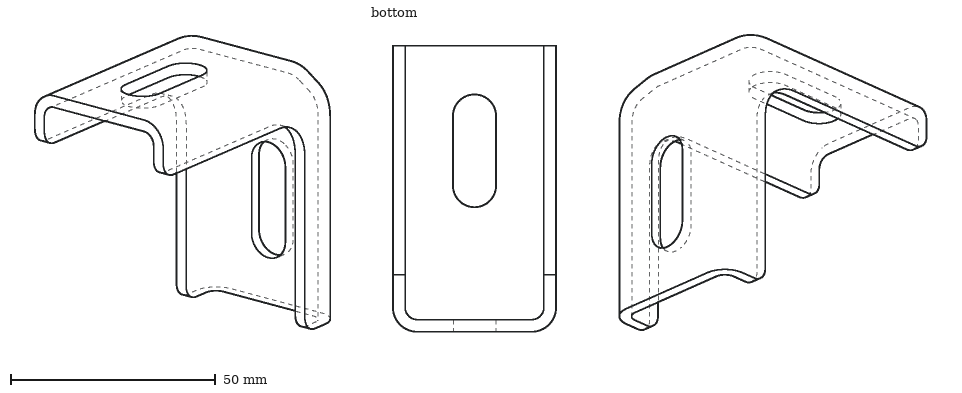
import cadquery as cq
import math

arm_length = 70.0
width = 40.0
thickness = 3.0
flange_depth = 14.0

edge_radius = 6.0
bend_radius = 13.0
bend_flat = 4.3
inner_corner_radius = 10.0
flange_end_radius = 4.0

slot_width = 10.5
slot_end_margin = 12.0
back_slot_length = 30.0
top_slot_length = 27.5


def extrude_across(profile, span):
    """Extrude a YZ profile symmetrically along X."""
    return profile.extrude(span / 2, both=True)


def corner_block(inset, span, radius):
    """Solid under the bent wall, inset from its outer skin, with rounded long edges."""
    center_far = bend_radius + bend_flat
    bend = bend_radius - inset
    diagonal = bend * math.sqrt(0.5)
    half_sine = bend * math.sin(math.pi / 8)
    half_cosine = bend * math.cos(math.pi / 8)
    profile = (
        cq.Workplane("YZ")
        .moveTo(-arm_length, -arm_length)
        .lineTo(-inset, -arm_length)
        .lineTo(-inset, -center_far)
        .threePointArc(
            (-bend_radius + half_cosine, -center_far + half_sine),
            (-bend_radius + diagonal, -center_far + diagonal),
        )
        .lineTo(-center_far + diagonal, -bend_radius + diagonal)
        .threePointArc(
            (-center_far + half_sine, -bend_radius + half_cosine),
            (-center_far, -inset),
        )
        .lineTo(-arm_length, -inset)
        .close()
    )
    block = extrude_across(profile, span)
    return block.edges("(not <Y) and (not <Z) and (not |X)").fillet(radius)


def flange_envelope():
    """L-shaped side outline with a rounded inner corner and rounded flange ends."""
    profile = (
        cq.Workplane("YZ")
        .polyline([
            (0, 0),
            (0, -arm_length),
            (-flange_depth, -arm_length),
            (-flange_depth, -flange_depth),
            (-arm_length, -flange_depth),
            (-arm_length, 0),
        ])
        .close()
    )

    def edge_at(y, z):
        return cq.selectors.NearestToPointSelector((0, y, z))

    return (
        extrude_across(profile, width)
        .edges(edge_at(-flange_depth, -flange_depth)).fillet(inner_corner_radius)
        .edges(edge_at(-flange_depth, -arm_length)).fillet(flange_end_radius)
        .edges(edge_at(-arm_length, -flange_depth)).fillet(flange_end_radius)
    )


def slot_cutter(plane, length):
    """Slot running along an arm, cut through its wall only."""
    center = -arm_length + slot_end_margin + length / 2
    return (
        cq.Workplane(plane)
        .center(0, center)
        .slot2D(length, slot_width, 90)
        .extrude(flange_depth / 2, both=True)
    )


outer = corner_block(0, width, edge_radius)
cavity = corner_block(thickness, width - 2 * thickness, edge_radius - thickness)

result = (
    outer.cut(cavity)
    .intersect(flange_envelope())
    .cut(slot_cutter("XZ", back_slot_length))
    .cut(slot_cutter("XY", top_slot_length))
)